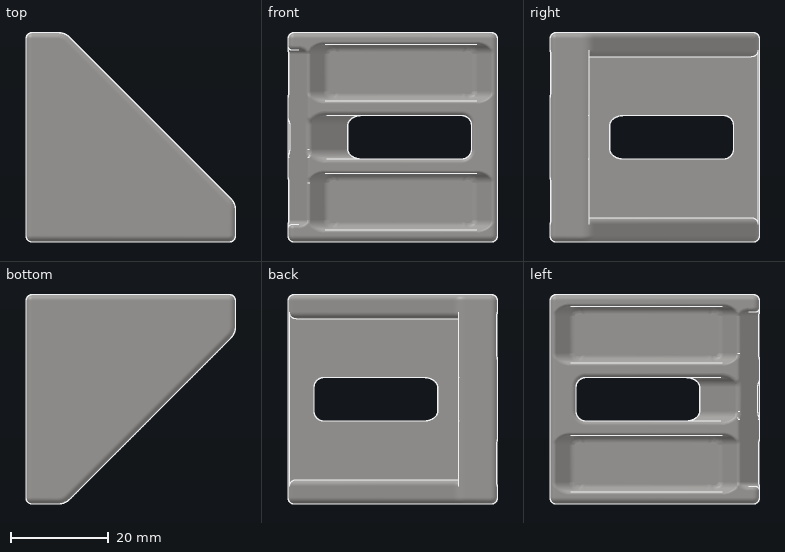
import cadquery as cq

size = 43.0
leg_thickness = 8.0
cheek_thickness = 5.0
outer_edge_radius = 1.3
leg_tip_radius = 3.22

bevel = 4.3
bevel_end_z = 3.6
bevel_floor_radius = 0.9
bevel_rim_radius = 0.85

pocket_depth = 3.55
pocket_far_end = 42.05
pocket_low_z = 2.5
pocket_high_z = 14.05
pocket_floor_radius = 1.55
pocket_mouth_radius = 0.6

slot_far_end = 37.62
slot_height = 8.85
slot_mouth_radius = 0.95

wall_corner_radius = 1.98
overshoot = 0.65
margin = 0.05

slot_low_z = (size - slot_height) / 2
slot_high_z = (size + slot_height) / 2
pocket_levels = [(pocket_low_z, pocket_high_z), (size - pocket_high_z, size - pocket_low_z)]


def prism(points, low_z, high_z):
    """Extrude an XY outline between two heights."""
    return cq.Workplane("XY").workplane(offset=low_z).polyline(points).close().extrude(high_z - low_z)


def in_box(low, high):
    """Select the edges that lie wholly inside a box."""
    return cq.selectors.BoxSelector(low, high, boundingbox=True)


def both_legs(tool):
    """A cutter for the -Y leg together with its mirror image for the -X leg."""
    return tool.union(tool.mirror((1, -1, 0)))


def make_block():
    """Solid block with its far corner cut off at 45 degrees and every edge rounded."""
    outline = [(0, 0), (size, 0), (size, leg_thickness), (leg_thickness, size), (0, size)]
    block = prism(outline, 0, size)
    tip_edges = in_box((margin, margin, -margin), (size + margin, size + margin, size + margin))
    block = block.edges(tip_edges).edges("|Z").fillet(leg_tip_radius)
    block = block.edges("|Z").edges("<X or <Y").fillet(outer_edge_radius)
    return block.faces("|Z").edges().fillet(outer_edge_radius)


def make_cavity():
    """Space behind the legs and between the cheeks, open on the slanted side."""
    span = size - leg_thickness
    height = size - 2 * cheek_thickness
    cavity = cq.Workplane("XY").box(span, span, height, centered=False)
    return cavity.translate((leg_thickness, leg_thickness, cheek_thickness))


def round_cheek_edges(block):
    """Round the inner long edges of both cheeks on the slanted side."""
    reach = size + margin
    start = leg_thickness - margin
    low_z = cheek_thickness - margin
    inner = in_box((start, start, low_z), (reach, reach, size - low_z))
    slanted = cq.selectors.ParallelDirSelector(cq.Vector(1, -1, 0))
    return block.edges(inner).edges(slanted).fillet(outer_edge_radius)


def make_bevel_recess():
    """Cutter that bevels the vertical corner, with rounded ends to its floor."""
    outline = [
        (bevel + overshoot, -overshoot),
        (-overshoot, bevel + overshoot),
        (-overshoot, -overshoot),
    ]
    recess = prism(outline, bevel_end_z, size - bevel_end_z)
    return recess.edges("#Z").edges("not(|X or |Y)").fillet(bevel_floor_radius)


def round_bevel_rim(block):
    """Round the opening of the bevelled recess, all the way around it."""
    low = -margin
    low_z = bevel_end_z - margin
    high_z = size - low_z
    reach = bevel + margin
    corner = outer_edge_radius + margin
    on_front = in_box((low, low, low_z), (reach, margin, high_z))
    on_side = in_box((low, low, low_z), (margin, reach, high_z))
    on_corner = in_box((low, low, low_z), (corner, corner, high_z))
    return block.edges(on_front + on_side + on_corner).fillet(bevel_rim_radius)


def make_pocket(low_z, high_z):
    """Blind pocket in the -Y leg with 45-degree end walls."""
    outline = [
        (bevel - overshoot, -overshoot),
        (pocket_far_end + overshoot, -overshoot),
        (pocket_far_end - pocket_depth, pocket_depth),
        (bevel + pocket_depth, pocket_depth),
    ]
    pocket = prism(outline, low_z, high_z)
    pocket = pocket.edges("#Z").edges("not |X").fillet(wall_corner_radius)
    return pocket.faces(">Y").edges().fillet(pocket_floor_radius)


def make_slot():
    """Through slot in the -Y leg: a 45-degree wall near the corner, a square one at the far end."""
    back = leg_thickness + overshoot
    outline = [
        (bevel - overshoot, -overshoot),
        (slot_far_end, -overshoot),
        (slot_far_end, back),
        (bevel + back, back),
    ]
    slot = prism(outline, slot_low_z, slot_high_z)
    return slot.edges("#Z").edges("not |X").fillet(wall_corner_radius)


def round_mouths(block, low_z, high_z, radius):
    """Round the openings of one level of pockets or slots on both legs."""
    near = bevel - bevel_rim_radius
    far = size + margin
    skin = outer_edge_radius
    on_front = in_box((near, -margin, low_z - margin), (far, skin, high_z + margin))
    on_side = in_box((-margin, near, low_z - margin), (skin, far, high_z + margin))
    return block.edges(on_front + on_side).fillet(radius)


bracket = make_block().cut(make_cavity())
bracket = round_cheek_edges(bracket)

bracket = bracket.cut(make_bevel_recess())
bracket = round_bevel_rim(bracket)

bracket = bracket.cut(both_legs(make_slot()))
for low_z, high_z in pocket_levels:
    bracket = bracket.cut(both_legs(make_pocket(low_z, high_z)))

bracket = round_mouths(bracket, slot_low_z, slot_high_z, slot_mouth_radius)
for low_z, high_z in pocket_levels:
    bracket = round_mouths(bracket, low_z, high_z, pocket_mouth_radius)

result = bracket